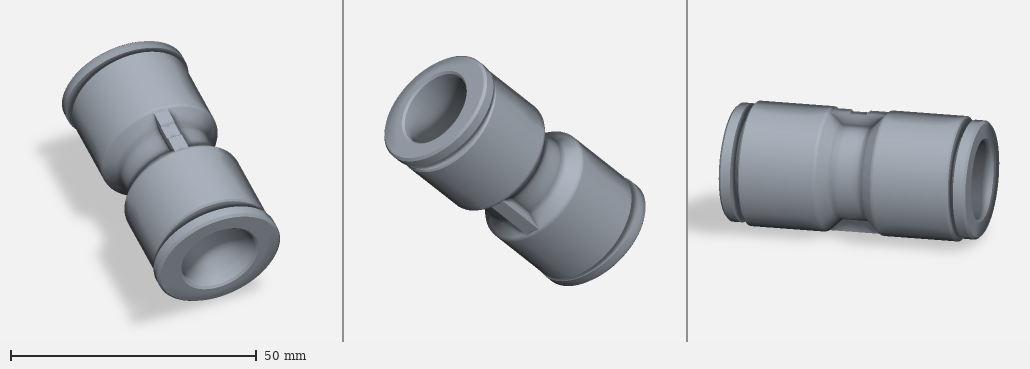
import cadquery as cq

length = 52.0
half_length = length / 2

body_radius = 12.8
body_half_length = 22.15
body_end_chamfer = 0.35
waist_radius = 10.0
waist_half_length = 2.95
cone_outer_x = 6.0
cone_blend_radius = 1.0

neck_radius = 9.5
collar_thickness = 2.5
collar_width = 27.0
collar_height = 24.1
collar_chamfer = 0.5

bore_radius = 8.1
bore_depth = half_length - waist_half_length
bore_mouth_chamfer = 0.45

rib_width = 3.0
rib_height = 12.5
notch_depth = 0.4
notch_bottom_half_width = 1.6
notch_top_half_width = notch_bottom_half_width + notch_depth


def make_body():
    """Body of revolution about X, with blended cones at the waist."""
    outline = [
        (-body_half_length, 0),
        (-body_half_length, body_radius - body_end_chamfer),
        (-body_half_length + body_end_chamfer, body_radius),
        (-cone_outer_x, body_radius),
        (-waist_half_length, waist_radius),
        (waist_half_length, waist_radius),
        (cone_outer_x, body_radius),
        (body_half_length - body_end_chamfer, body_radius),
        (body_half_length, body_radius - body_end_chamfer),
        (body_half_length, 0),
    ]
    body = cq.Workplane("XZ").polyline(outline).close().revolve(360, (0, 0, 0), (1, 0, 0))
    reach = cone_outer_x + cone_blend_radius
    waist_zone = cq.selectors.BoxSelector((-reach, -length, -length), (reach, length, length))
    return body.edges("%CIRCLE").edges(waist_zone).fillet(cone_blend_radius)


def make_sleeve():
    """Round neck and oval collar at the -X end."""
    neck = (
        cq.Workplane("YZ", origin=(-half_length, 0, 0))
        .circle(neck_radius)
        .extrude(half_length - body_half_length + body_end_chamfer)
    )
    collar = (
        cq.Workplane("YZ", origin=(-half_length, 0, 0))
        .ellipse(collar_width / 2, collar_height / 2)
        .extrude(collar_thickness)
        .faces("<X").chamfer(collar_chamfer)
    )
    return collar.union(neck)


def make_bore():
    """Blind tube bore with a chamfered mouth, cut from the -X end."""
    outline = [
        (-half_length, 0),
        (-half_length, bore_radius + bore_mouth_chamfer),
        (-half_length + bore_mouth_chamfer, bore_radius),
        (-half_length + bore_depth, bore_radius),
        (-half_length + bore_depth, 0),
    ]
    return cq.Workplane("XZ").polyline(outline).close().revolve(360, (0, 0, 0), (1, 0, 0))


def make_ribs():
    """Upper and lower waist ribs in one plate; the upper rib has a shallow notch."""
    outline = [
        (-cone_outer_x, -rib_height),
        (cone_outer_x, -rib_height),
        (cone_outer_x, rib_height),
        (notch_top_half_width, rib_height),
        (notch_bottom_half_width, rib_height - notch_depth),
        (-notch_bottom_half_width, rib_height - notch_depth),
        (-notch_top_half_width, rib_height),
        (-cone_outer_x, rib_height),
    ]
    return cq.Workplane("XZ").polyline(outline).close().extrude(rib_width / 2, both=True)


sleeve = make_sleeve()
bore = make_bore()
result = make_body().union(make_ribs())
result = result.union(sleeve).union(sleeve.mirror("YZ"))
result = result.cut(bore).cut(bore.mirror("YZ"))